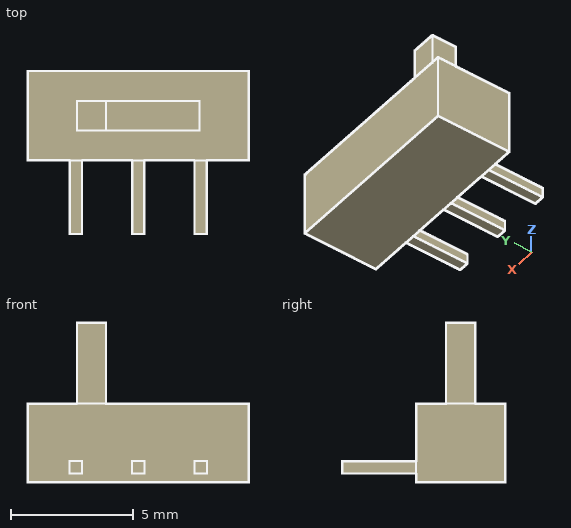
import cadquery as cq

body_length = 9.0
body_width = 3.64
body_height = 3.2

slot_length = 5.0
slot_width = 1.2
slot_depth = 0.2

lever_length = slot_width
lever_rise = 3.29

pin_side = 0.5
pin_length = 3.01
pin_pitch = 2.54
pin_count = 3
pin_bottom = 0.36


def block(x_size, y_size, z_size, x_min, y_min, z_min):
    """Box placed by its minimum corner."""
    box = cq.Workplane("XY").box(x_size, y_size, z_size, centered=False)
    return box.translate((x_min, y_min, z_min))


body = block(body_length, body_width, body_height, -body_length / 2, -body_width / 2, 0)

slot_floor = body_height - slot_depth
slot = block(slot_length, slot_width, slot_depth, -slot_length / 2, -slot_width / 2, slot_floor)

lever = block(
    lever_length, slot_width, slot_depth + lever_rise, -slot_length / 2, -slot_width / 2, slot_floor
)

result = body.cut(slot).union(lever)

for index in range(pin_count):
    pin_x = (index - (pin_count - 1) / 2) * pin_pitch
    pin = block(
        pin_side, pin_length, pin_side, pin_x - pin_side / 2, -body_width / 2 - pin_length, pin_bottom
    )
    result = result.union(pin)